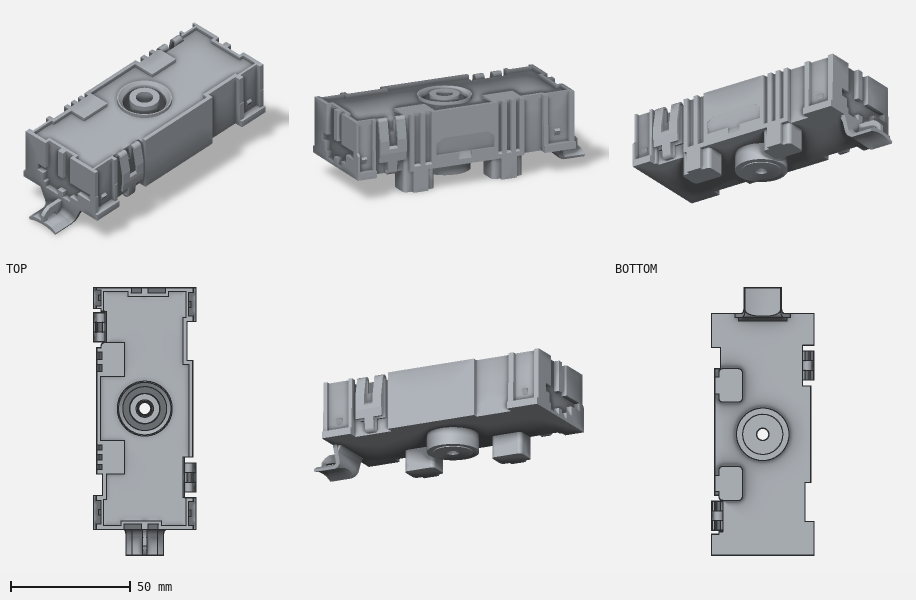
import cadquery as cq

HALF_X = 21.6
HALF_Y = 50.8
TOP_Z = 24.9
FLOOR_Z = 23.3
RIM = 1.7
SIDE_X = 20.2
SIDE_END_Y = 25.6
NOTCH_X = 17.8
LATCH_X = 16.7
LEDGE_Z = 18.3
CORNER_RIM_X = 17.3
LEFT_BLOCK_Y = 41.9
LEFT_LATCH_RECESS_Y = (27.8, 40.8)
LEFT_FRONT_Y = (-36.4, -27.5)
RIGHT_BACK_Y = (20.2, 36.5)
RIGHT_LATCH_RECESS_Y = (-37.3, -20.3)

FOOT_Z = -9.4
FOOT_INNER_X = -8.5
FOOT_OUTER_X = -18.4
FOOT_FILLET = 1.7
COLUMN_FILLET = 1.6
BACK_FOOT_Y = (13.5, LEFT_LATCH_RECESS_Y[0])
BACK_FOOT_RIB_Y = (17.3, 24.0)
FRONT_FOOT_Y = (LEFT_FRONT_Y[1], -13.5)
FRONT_FOOT_RIB_Y = (-24.0, -17.0)

POCKET_X = 18.3
POCKET_Z = 3.0
RIB_X = 20.5
RIB_STEP_Z = 11.7
GUARD_SLOPE = 1.1
CATCH_BOTTOM_Z = 6.0
CATCH_TOP_Z = 8.9
CATCH_SLOPE = 0.8
CATCH_HEIGHT = 1.1
LEFT_POCKETS = (
    ((LEFT_BLOCK_Y, HALF_Y), (43.0, 49.8), (45.3, 47.7)),
    ((-HALF_Y, LEFT_FRONT_Y[0]), (-48.4, -38.5), (-44.7, -42.2)),
)
RIGHT_POCKETS_TURNED = (
    ((-HALF_Y, -RIGHT_BACK_Y[1]), (-48.6, -38.9), (-44.9, -42.5)),
    ((-RIGHT_LATCH_RECESS_Y[0], HALF_Y), (38.9, 49.0), (42.6, 45.3)),
)

GROOVES_Y = ((20.7, 23.7), (15.5, 18.5), (-17.3, -15.3), (-21.5, -19.3), (-25.5, -23.5))
GROOVE_Z = 2.0
GROOVE_RIDGE = 0.8
GROOVE_DEPTH = 2.2
WINDOW_HALF = 13.5
WINDOW_Z = 5.4
WINDOW_TOP_Z = 12.8
WINDOW_CHAMFER_Y = 3.0
WINDOW_CHAMFER_Z = 2.1
WINDOW_DEPTH = 1.1
RAMP_HALF = 2.9
RAMP_Z = 2.4

RECESS_DEPTH = 2.4
RECESS_LEFT = -8.7
RECESS_RIGHT = 5.6
RECESS_STEP_HALF = 10.0
RECESS_ARM_X = (-13.4, 17.4)
RECESS_STEPS_Z = (1.3, 4.0, 8.1, 11.6)
RECESS_BULGE = 1.3
BAR_HALF = 1.5

SHEET = 0.95
LATCH_WIDTH = 12.2
LATCH_TONGUE = 4.0
LATCH_CREST_X = 20.1
LATCH_FOOT_X = 20.6
LATCH_BULGE_Z = (9.9, 15.5)
LATCH_ARM_Z = 6.2
SLOT_Z = 11.8
SLOT_SLOPE = 1.0
SLOT_INNER_Z = 17.9
LEFT_LATCH_Y = 34.2
RIGHT_LATCH_Y = -28.9

CUP_OUTER_D = 23.0
CUP_MOUTH_D = 22.0
CUP_D = 18.4
CUP_BEVEL_Z = 22.9
CUP_FLOOR_Z = 0.0
POST_TOP_Z = 25.2
POST_HEAD_D = 12.8
POST_HEAD_HEIGHT = 2.2
POST_D = 12.4
SPIGOT_D = 22.0
SPIGOT_Z = -7.4
SPIGOT_TIP_D = 16.9
SPIGOT_TIP = 0.3
BORE_STEPS = ((7.3, CUP_FLOOR_Z), (6.2, -3.4), (5.0, SPIGOT_Z - SPIGOT_TIP))

HANDLE_Y = -61.6
PLATE = 1.8
PLATE_TOP_HALF = 11.6
LIP_HALF = 7.4
LIP_BOTTOM_Z = -9.1
LIP_CROWN_Z = -7.6
LIP_TOP_POINTS = ((2.6, -6.1), (5.3, -6.4), (8.0, -8.1))
BEND_OUTER = 3.3
BEND_INNER = 2.2
SELECT_GAP = 0.1
BUTTRESS_Y = -47.6
BUTTRESS_HALF = 10.1
BUTTRESS_Z = -2.8
WEB_HALF = 0.9
WEB_TOP_Z = -0.3
WEB_ROUND_Y = -57.6
WEB_ROUND_Z = -3.3
WEB_ROUND_R = 6.7
WEB_WINDOW_Y = (-59.4, -54.2)
WEB_WINDOW_Z = (-6.0, -4.0)


def box(x, y, z):
    """Box between the given (low, high) pairs."""
    size = (x[1] - x[0], y[1] - y[0], z[1] - z[0])
    return cq.Workplane("XY").box(*size, centered=False).translate((x[0], y[0], z[0]))


def prism_x(points, x):
    """(Y, Z) outline extruded along X."""
    return cq.Workplane("YZ", origin=(x[0], 0, 0)).polyline(points).close().extrude(x[1] - x[0])


def prism_y(points, y):
    """(X, Z) outline extruded along Y."""
    return cq.Workplane("XZ", origin=(0, y[1], 0)).polyline(points).close().extrude(y[1] - y[0])


def prism_z(points, z):
    """(X, Y) outline extruded along Z."""
    return cq.Workplane("XY", origin=(0, 0, z[0])).polyline(points).close().extrude(z[1] - z[0])


def cylinder(diameter, z):
    return cq.Workplane("XY", origin=(0, 0, z[0])).circle(diameter / 2).extrude(z[1] - z[0])


def half_turn(shape):
    return shape.rotate((0, 0, 0), (0, 0, 1), 180)


def make_housing():
    """Block with stepped long sides and a ledge behind each latch."""
    column_x = FOOT_OUTER_X
    upper_x = NOTCH_X - RIM
    outline = [
        (-HALF_X, HALF_Y),
        (HALF_X, HALF_Y),
        (HALF_X, RIGHT_BACK_Y[1]),
        (NOTCH_X, RIGHT_BACK_Y[1]),
        (NOTCH_X, RIGHT_BACK_Y[0]),
        (SIDE_X, RIGHT_BACK_Y[0]),
        (SIDE_X, RIGHT_LATCH_RECESS_Y[1]),
        (LATCH_X, RIGHT_LATCH_RECESS_Y[1]),
        (LATCH_X, RIGHT_LATCH_RECESS_Y[0]),
        (HALF_X, RIGHT_LATCH_RECESS_Y[0]),
        (HALF_X, -HALF_Y),
        (-HALF_X, -HALF_Y),
        (-HALF_X, LEFT_FRONT_Y[0]),
        (-NOTCH_X, LEFT_FRONT_Y[0]),
        (-NOTCH_X, LEFT_FRONT_Y[1]),
        (-SIDE_X, LEFT_FRONT_Y[1]),
        (-SIDE_X, SIDE_END_Y),
        (column_x, SIDE_END_Y),
        (column_x, LEFT_LATCH_RECESS_Y[0]),
        (-LATCH_X, LEFT_LATCH_RECESS_Y[0]),
        (-LATCH_X, LEFT_LATCH_RECESS_Y[1]),
        (column_x, LEFT_LATCH_RECESS_Y[1]),
        (column_x, LEFT_BLOCK_Y),
        (-HALF_X, LEFT_BLOCK_Y),
    ]
    body = prism_z(outline, (0, TOP_Z))
    column_edge = cq.selectors.NearestToPointSelector((column_x, LEFT_LATCH_RECESS_Y[0], TOP_Z / 2))
    body = body.edges("|Z").edges(column_edge).fillet(COLUMN_FILLET)
    above_ledge = (LEDGE_Z, TOP_Z)
    body = body.cut(box((-LATCH_X, -upper_x), LEFT_LATCH_RECESS_Y, above_ledge))
    return body.cut(box((upper_x, LATCH_X), RIGHT_LATCH_RECESS_Y, above_ledge))


def make_top_recess():
    """Shallow tray in the top, leaving the rim and the two pads over the feet."""
    side = SIDE_X - RIM
    near = NOTCH_X - RIM
    end_y = HALF_Y - RIM
    bulge_y = HALF_Y - RECESS_DEPTH - RECESS_BULGE
    bulge_low = RECESS_LEFT - RECESS_BULGE
    bulge_high = RECESS_RIGHT + RECESS_BULGE
    outline = [
        (-CORNER_RIM_X, end_y),
        (-bulge_high, end_y),
        (-bulge_high, bulge_y),
        (-bulge_low, bulge_y),
        (-bulge_low, end_y),
        (CORNER_RIM_X, end_y),
        (CORNER_RIM_X, RIGHT_BACK_Y[1] + RIM),
        (near, RIGHT_BACK_Y[1] + RIM),
        (near, RIGHT_BACK_Y[0] - RIM),
        (side, RIGHT_BACK_Y[0] - RIM),
        (side, RIGHT_LATCH_RECESS_Y[1]),
        (near, RIGHT_LATCH_RECESS_Y[1]),
        (near, RIGHT_LATCH_RECESS_Y[0]),
        (CORNER_RIM_X, RIGHT_LATCH_RECESS_Y[0]),
        (CORNER_RIM_X, -end_y),
        (bulge_high, -end_y),
        (bulge_high, -bulge_y),
        (bulge_low, -bulge_y),
        (bulge_low, -end_y),
        (-CORNER_RIM_X, -end_y),
        (-CORNER_RIM_X, LEFT_FRONT_Y[0] - RIM),
        (-near, LEFT_FRONT_Y[0] - RIM),
        (-near, FRONT_FOOT_Y[0]),
        (FOOT_INNER_X, FRONT_FOOT_Y[0]),
        (FOOT_INNER_X, FRONT_FOOT_Y[1]),
        (-side, FRONT_FOOT_Y[1]),
        (-side, BACK_FOOT_Y[0]),
        (FOOT_INNER_X, BACK_FOOT_Y[0]),
        (FOOT_INNER_X, BACK_FOOT_Y[1]),
        (-near, BACK_FOOT_Y[1]),
        (-near, LEFT_LATCH_RECESS_Y[1]),
        (-CORNER_RIM_X, LEFT_LATCH_RECESS_Y[1]),
    ]
    return prism_z(outline, (FLOOR_Z, TOP_Z))


def make_end_recess():
    """Stepped recess in the -Y end face with a bar left standing in its middle."""
    y = (-HALF_Y, -HALF_Y + RECESS_DEPTH)
    low, shelf, arm, arm_top = RECESS_STEPS_Z
    recess = box((RECESS_LEFT, RECESS_RIGHT), y, (low, TOP_Z))
    recess = recess.union(box((-RECESS_STEP_HALF, RECESS_STEP_HALF), y, (shelf, arm_top)))
    recess = recess.union(box(RECESS_ARM_X, y, (arm, arm_top)))
    bar_x = (-BAR_HALF, BAR_HALF)
    recess = recess.cut(box(bar_x, y, (arm_top, TOP_Z)))
    return recess.cut(box(bar_x, y, (low, shelf)))


def cut_corner_pocket(body, block_y, pocket_y, bump_y):
    """Pocket in the -X face of a corner block, with a small catch on its floor."""
    x_out = -HALF_X
    above = (POCKET_Z, TOP_Z)
    body = body.cut(box((x_out, -RIB_X), block_y, above))
    body = body.cut(box((x_out, -SIDE_X), block_y, (RIB_STEP_Z, TOP_Z)))
    body = body.cut(box((x_out, -POCKET_X), pocket_y, above))
    catch = [
        (-POCKET_X, CATCH_BOTTOM_Z),
        (-POCKET_X, CATCH_TOP_Z),
        (-POCKET_X - CATCH_HEIGHT, CATCH_TOP_Z - CATCH_SLOPE),
    ]
    return body.union(prism_y(catch, bump_y))


def make_corner_guard():
    """Lower, wider part of the rib at the rear left corner, with a sloping top."""
    profile = [
        (-HALF_X, 0),
        (-HALF_X, RIB_STEP_Z - GUARD_SLOPE),
        (-RIB_X, RIB_STEP_Z),
        (-RIB_X, 0),
    ]
    return prism_y(profile, (LEFT_POCKETS[0][1][1], HALF_Y))


def make_side_groove(y):
    """Vertical groove in the -X wall with a small ridge across its lower end."""
    profile = [
        (-SIDE_X, GROOVE_Z),
        (-SIDE_X + GROOVE_DEPTH / 2, GROOVE_Z + GROOVE_RIDGE),
        (-SIDE_X + GROOVE_DEPTH, GROOVE_Z),
        (-SIDE_X + GROOVE_DEPTH, TOP_Z),
        (-SIDE_X, TOP_Z),
    ]
    return prism_y(profile, y)


def make_side_window():
    """Sloping recess in the -X wall, deepest along its lower edge, with a ramp below it."""
    inner_y = WINDOW_HALF - WINDOW_CHAMFER_Y
    shoulder_z = WINDOW_TOP_Z - WINDOW_CHAMFER_Z
    outline = [
        (-WINDOW_HALF, WINDOW_Z),
        (-WINDOW_HALF, shoulder_z),
        (-inner_y, WINDOW_TOP_Z),
        (inner_y, WINDOW_TOP_Z),
        (WINDOW_HALF, shoulder_z),
        (WINDOW_HALF, WINDOW_Z),
    ]
    floor_x = -SIDE_X + WINDOW_DEPTH
    slope = [(-SIDE_X, WINDOW_Z), (floor_x, WINDOW_Z), (-SIDE_X, WINDOW_TOP_Z)]
    window = prism_x(outline, (-SIDE_X, floor_x))
    window = window.intersect(prism_y(slope, (-WINDOW_HALF, WINDOW_HALF)))
    ramp = [(-SIDE_X, RAMP_Z), (floor_x, WINDOW_Z), (-SIDE_X, WINDOW_Z)]
    return window.union(prism_y(ramp, (-RAMP_HALF, RAMP_HALF)))


def make_foot(y, rib_y):
    """Rounded column below the housing with a rib flush with the -X wall."""
    column = box((FOOT_OUTER_X, FOOT_INNER_X), y, (FOOT_Z, 0))
    column = column.edges("|Z").fillet(FOOT_FILLET)
    rib = box((-SIDE_X, FOOT_OUTER_X + FOOT_FILLET), rib_y, (FOOT_Z, 0))
    return column.union(rib)


def latch_skin(inset, half_width):
    """Solid inside the latch sheet, drawn at the given inset from its outer skin."""
    wall_x = -LATCH_X - inset
    crest_x = -LATCH_CREST_X + inset
    foot_x = -LATCH_FOOT_X + inset
    radius = (wall_x - crest_x) / 2
    foot_radius = (wall_x - foot_x) / 2
    crown_z = TOP_Z - inset
    return (
        cq.Workplane("XZ", origin=(0, half_width, 0))
        .moveTo(wall_x, crown_z - radius)
        .threePointArc((wall_x - radius, crown_z), (crest_x, crown_z - radius))
        .lineTo(-HALF_X + inset, LATCH_BULGE_Z[1])
        .lineTo(-HALF_X + inset, LATCH_BULGE_Z[0])
        .lineTo(foot_x, inset + foot_radius)
        .threePointArc((wall_x - foot_radius, inset), (wall_x, inset + foot_radius))
        .close()
        .extrude(2 * half_width)
    )


def make_latch():
    """Bent sheet spring for the -X side, centred on Y = 0."""
    half = LATCH_WIDTH / 2
    tongue = LATCH_TONGUE / 2
    latch = latch_skin(0, half).cut(latch_skin(SHEET, half))
    full_x = (-HALF_X, -LATCH_X)
    for side_y in ((-half, -tongue), (tongue, half)):
        latch = latch.cut(box(full_x, side_y, (0, LATCH_ARM_Z)))
    slot = [
        (-HALF_X, SLOT_Z),
        (-HALF_X + SHEET, SLOT_Z + SLOT_SLOPE),
        (-LATCH_X - SHEET, SLOT_INNER_Z),
        (-LATCH_X, SLOT_INNER_Z),
        (-LATCH_X, TOP_Z),
        (-HALF_X, TOP_Z),
    ]
    return latch.cut(prism_y(slot, (-tongue, tongue)))


def add_hub(body):
    """Cup with a bored centre post, continued as a spigot below the housing."""
    body = body.union(cylinder(CUP_OUTER_D, (CUP_FLOOR_Z, TOP_Z)))
    body = body.union(cylinder(SPIGOT_D, (SPIGOT_Z, 0)))
    tip_z = SPIGOT_Z - SPIGOT_TIP
    body = body.union(cylinder(SPIGOT_TIP_D, (tip_z, SPIGOT_Z)))
    body = body.cut(cylinder(CUP_D, (CUP_FLOOR_Z, TOP_Z)))
    bevel = (
        cq.Workplane("XY", origin=(0, 0, CUP_BEVEL_Z))
        .circle(CUP_D / 2)
        .workplane(offset=TOP_Z - CUP_BEVEL_Z)
        .circle(CUP_MOUTH_D / 2)
        .loft(ruled=True)
    )
    body = body.cut(bevel)
    body = body.union(cylinder(POST_D, (CUP_FLOOR_Z, POST_TOP_Z)))
    body = body.union(cylinder(POST_HEAD_D, (POST_TOP_Z - POST_HEAD_HEIGHT, POST_TOP_Z)))
    for diameter, bottom_z in BORE_STEPS:
        body = body.cut(cylinder(diameter, (bottom_z, POST_TOP_Z)))
    return body


def make_handle():
    """Bent release handle: a tapered plate, an arched lip and a central web."""
    front_y = -HALF_Y
    back_y = front_y + PLATE
    taper = (
        cq.Workplane("XZ", origin=(0, back_y, 0))
        .moveTo(-PLATE_TOP_HALF, 0)
        .lineTo(-LIP_HALF, LIP_BOTTOM_Z)
        .threePointArc((0, LIP_CROWN_Z), (LIP_HALF, LIP_BOTTOM_Z))
        .lineTo(PLATE_TOP_HALF, 0)
        .close()
        .extrude(back_y - HANDLE_Y)
    )
    bend_z = LIP_BOTTOM_Z + BEND_OUTER
    side_profile = (
        cq.Workplane("YZ", origin=(-PLATE_TOP_HALF, 0, 0))
        .moveTo(HANDLE_Y, 0)
        .lineTo(back_y, 0)
        .lineTo(back_y, bend_z)
        .radiusArc((back_y - BEND_OUTER, LIP_BOTTOM_Z), BEND_OUTER)
        .lineTo(HANDLE_Y, LIP_BOTTOM_Z)
        .close()
        .extrude(2 * PLATE_TOP_HALF)
    )
    right_edge = list(LIP_TOP_POINTS)
    left_edge = [(-x, z) for x, z in reversed(right_edge)]
    end_z = right_edge[-1][1]
    above_lip = left_edge + right_edge
    above_lip += [(PLATE_TOP_HALF, end_z), (PLATE_TOP_HALF, 0)]
    above_lip += [(-PLATE_TOP_HALF, 0), (-PLATE_TOP_HALF, end_z)]
    clearance = prism_y(above_lip, (HANDLE_Y, front_y))
    reach = right_edge[-1][0] + SELECT_GAP
    lip_edges = cq.selectors.BoxSelector(
        (-reach, front_y - SELECT_GAP, end_z - SELECT_GAP),
        (reach, front_y + SELECT_GAP, right_edge[0][1] + SELECT_GAP),
    )
    clearance = clearance.edges(lip_edges).fillet(BEND_INNER)
    handle = taper.intersect(side_profile).cut(clearance)
    web = (
        cq.Workplane("YZ", origin=(-WEB_HALF, 0, 0))
        .moveTo(front_y, WEB_TOP_Z)
        .lineTo(WEB_ROUND_Y, WEB_TOP_Z)
        .radiusArc((HANDLE_Y, WEB_ROUND_Z), -WEB_ROUND_R)
        .lineTo(HANDLE_Y, LIP_CROWN_Z)
        .lineTo(front_y, LIP_CROWN_Z)
        .close()
        .extrude(2 * WEB_HALF)
    )
    web = web.cut(box((-WEB_HALF, WEB_HALF), WEB_WINDOW_Y, WEB_WINDOW_Z))
    wedge = [(back_y, 0), (BUTTRESS_Y, 0), (back_y, BUTTRESS_Z)]
    buttress = prism_x(wedge, (-BUTTRESS_HALF, BUTTRESS_HALF))
    return handle.union(web).union(buttress)


def build():
    """Assemble the complete part."""
    body = make_housing().cut(make_top_recess())
    body = body.cut(make_end_recess()).cut(half_turn(make_end_recess()))
    for block_y, pocket_y, bump_y in LEFT_POCKETS:
        body = cut_corner_pocket(body, block_y, pocket_y, bump_y)
    body = half_turn(body)
    for block_y, pocket_y, bump_y in RIGHT_POCKETS_TURNED:
        body = cut_corner_pocket(body, block_y, pocket_y, bump_y)
    body = half_turn(body)
    body = body.union(make_corner_guard())
    for groove_y in GROOVES_Y:
        body = body.cut(make_side_groove(groove_y))
    body = body.cut(make_side_window())
    body = body.union(make_foot(BACK_FOOT_Y, BACK_FOOT_RIB_Y))
    body = body.union(make_foot(FRONT_FOOT_Y, FRONT_FOOT_RIB_Y))
    body = add_hub(body)
    latch = make_latch()
    body = body.union(latch.translate((0, LEFT_LATCH_Y, 0)))
    body = body.union(half_turn(latch).translate((0, RIGHT_LATCH_Y, 0)))
    return body.union(make_handle())


result = build()